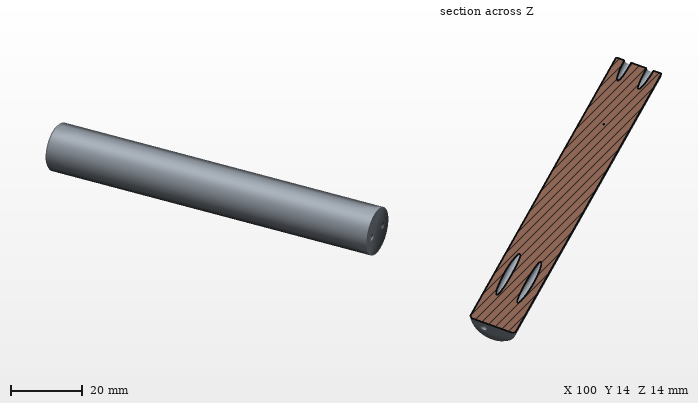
import cadquery as cq
import math

rod_length = 100.0
rod_diameter = 14.0
front_chamfer = 0.7

channel_diameter = 2.0
channel_pitch_diameter = 6.8
channel_start_angle = 140.0
helix_angle = 15.0

helix_pitch = math.pi * rod_diameter / math.tan(math.radians(helix_angle))
channel_twist = 360.0 * rod_length / helix_pitch


def make_rod():
    rod = cq.Workplane("YZ").circle(rod_diameter / 2).extrude(rod_length)
    return rod.faces("<X").edges().chamfer(front_chamfer)


def make_channel(start_angle):
    """Helical channel about the X axis, at start_angle on the front end."""
    center_y = channel_pitch_diameter / 2 * math.cos(math.radians(start_angle))
    center_z = channel_pitch_diameter / 2 * math.sin(math.radians(start_angle))
    return (
        cq.Workplane("YZ")
        .pushPoints([(center_y, center_z)])
        .circle(channel_diameter / 2)
        .twistExtrude(rod_length, channel_twist)
    )


result = make_rod()
for half_turn in (0, 180):
    result = result.cut(make_channel(channel_start_angle + half_turn))